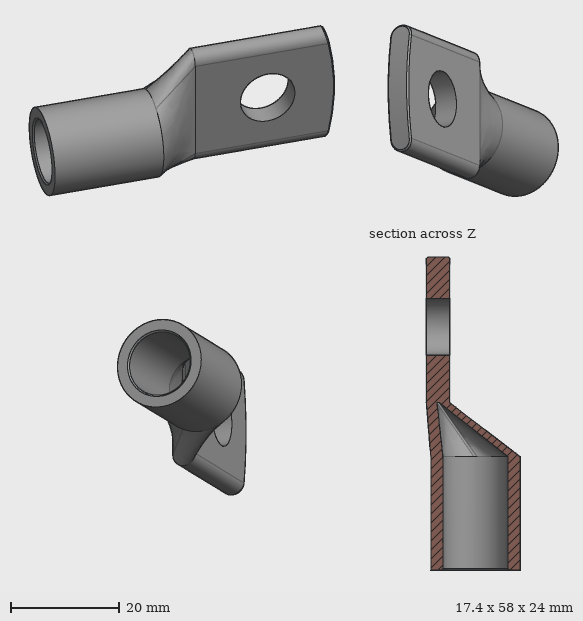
import cadquery as cq
import math


barrel_diameter = 16.6
bore_diameter = 12.0
barrel_length = 21.0
mouth_chamfer = 0.3

neck_length = 10.0

palm_thickness = 4.4
palm_width = 24.0
palm_offset = 0.8
total_length = 58.0
tip_drop = 1.55
tip_chamfer = 0.3
hole_diameter = 10.5
hole_position = 45.0

seam_thickness = 0.4

palm_start = barrel_length + neck_length
palm_x = -barrel_diameter / 2 - palm_offset + palm_thickness / 2
seam_width = palm_width - palm_thickness


def section_sketch(y):
    """Empty section across the part at y, with local x along X and local y along Z."""
    return cq.Workplane("XZ", origin=(0, y, 0))


def split_circle(y, diameter, round_side_angle):
    """Circle wire of four arcs, paired with the four edges of an upright slot.

    The arcs within round_side_angle of the +Z and -Z directions face the slot's round ends.
    """
    radius = diameter / 2
    split_x = radius * math.sin(math.radians(round_side_angle))
    split_z = radius * math.cos(math.radians(round_side_angle))
    outline = (
        section_sketch(y)
        .moveTo(split_x, -split_z)
        .threePointArc((radius, 0), (split_x, split_z))
        .threePointArc((0, radius), (-split_x, split_z))
        .threePointArc((-radius, 0), (-split_x, -split_z))
        .threePointArc((0, -radius), (split_x, -split_z))
    )
    return outline.wire().val()


def upright_slot(y, thickness, width):
    """Slot wire with full round ends, centred on the mid-plane of the palm."""
    line_end = (width - thickness) / 2
    right_x = palm_x + thickness / 2
    left_x = palm_x - thickness / 2
    outline = (
        section_sketch(y)
        .moveTo(right_x, -line_end)
        .lineTo(right_x, line_end)
        .threePointArc((palm_x, width / 2), (left_x, line_end))
        .lineTo(left_x, -line_end)
        .threePointArc((palm_x, -width / 2), (right_x, -line_end))
    )
    return outline.wire().val()


def make_neck(circle_diameter, slot_thickness, slot_width):
    """Straight blend from a circle at the barrel to a slot at the palm.

    The circle is split in proportion to the lengths of the slot's edges,
    so that neighbouring blend faces meet smoothly.
    """
    round_end_length = math.pi * slot_thickness / 2
    flat_side_length = slot_width - slot_thickness
    round_side_angle = 90 * round_end_length / (round_end_length + flat_side_length)
    sections = [
        split_circle(barrel_length, circle_diameter, round_side_angle),
        upright_slot(palm_start, slot_thickness, slot_width),
    ]
    return cq.Workplane(obj=cq.Solid.makeLoft(sections, True))


def make_barrel():
    return section_sketch(0).circle(barrel_diameter / 2).extrude(-barrel_length)


def make_bore():
    bore = section_sketch(0).circle(bore_diameter / 2).extrude(-barrel_length)
    mouth = cq.Solid.makeCone(
        bore_diameter / 2 + mouth_chamfer,
        bore_diameter / 2,
        mouth_chamfer,
        pnt=cq.Vector(0, 0, 0),
        dir=cq.Vector(0, 1, 0),
    )
    return bore.union(cq.Workplane(obj=mouth))


def make_palm():
    """Flat tongue with round long edges, an arched tip and a stud hole."""
    palm_slot = upright_slot(palm_start, palm_thickness, palm_width)
    palm_length = total_length - palm_start
    bar = cq.Workplane(obj=cq.Solid.extrudeLinear(palm_slot, [], cq.Vector(0, palm_length, 0)))
    corner_y = total_length - tip_drop
    side_plane = cq.Workplane("YZ", origin=(palm_x, 0, 0))
    tip_outline = (
        side_plane
        .moveTo(palm_start, -palm_width / 2)
        .lineTo(corner_y, -palm_width / 2)
        .threePointArc((total_length, 0), (corner_y, palm_width / 2))
        .lineTo(palm_start, palm_width / 2)
        .close()
        .extrude(palm_thickness / 2, both=True)
    )
    stud_hole = (
        side_plane
        .center(hole_position, 0)
        .circle(hole_diameter / 2)
        .extrude(palm_thickness / 2, both=True)
    )
    tongue = bar.intersect(tip_outline)
    tongue = tongue.faces(">Y").edges().chamfer(tip_chamfer)
    return tongue.cut(stud_hole)


outer_neck = make_neck(barrel_diameter, palm_thickness, palm_width)
neck_cavity = make_neck(bore_diameter, seam_thickness, seam_width)

result = (
    make_barrel()
    .union(outer_neck)
    .union(make_palm())
    .cut(make_bore())
    .cut(neck_cavity)
)